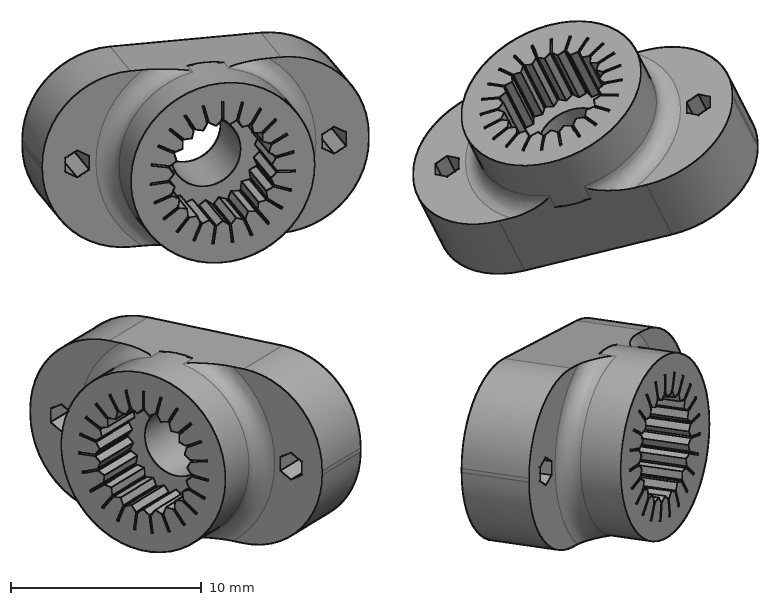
import cadquery as cq
import math

footprint = 15.41
turn_angle = 45.0

plate_thickness = 4.0
plate_length = footprint * math.sqrt(2) - plate_thickness
plate_width = 9.8
plate_corner_radius = 4.8

boss_diameter = 10.0
boss_height = 3.39
boss_fillet = 0.99

tooth_count = 23
tooth_tip_radius = 2.67
groove_root_radius = 2.99
slit_end_radius = 3.95
slit_width = 0.1
socket_depth = boss_height

center_hole_diameter = 3.8
hex_hole_spacing = 13.99
hex_hole_corner_diameter = 1.51

boss_radius = boss_diameter / 2
boss_top = plate_thickness + boss_height


def front_plane(distance):
    """Plane facing -Y at a distance in front of the plate's back face."""
    return cq.Workplane("XZ", origin=(0, -distance, 0))


def make_plate():
    plate = front_plane(0).rect(plate_length, plate_width).extrude(plate_thickness)
    return plate.edges("|Y").fillet(plate_corner_radius)


def make_boss():
    return front_plane(plate_thickness).circle(boss_radius).extrude(boss_height)


def make_boss_fillet():
    """Concave ring at the foot of the boss, trimmed flush with the long sides of the plate."""
    face_y = -plate_thickness
    top_y = face_y - boss_fillet
    outer_radius = boss_radius + boss_fillet
    inner_radius = boss_radius - boss_fillet
    arc_offset = boss_fillet * (1 - math.sqrt(0.5))
    ring = (
        cq.Workplane("XY")
        .moveTo(inner_radius, face_y)
        .lineTo(outer_radius, face_y)
        .threePointArc((boss_radius + arc_offset, face_y - arc_offset), (boss_radius, top_y))
        .lineTo(inner_radius, top_y)
        .close()
        .revolve(360, (0, 0, 0), (0, 1, 0))
    )
    trim = front_plane(plate_thickness).rect(plate_length, plate_width).extrude(boss_fillet)
    return ring.intersect(trim)


def make_socket():
    """Serrated cutter with one groove pointing along +Z."""
    half_pitch = math.pi / tooth_count
    outline = []
    for step in range(2 * tooth_count):
        radius = groove_root_radius if step % 2 == 0 else tooth_tip_radius
        angle = math.pi / 2 + step * half_pitch
        outline.append((radius * math.cos(angle), radius * math.sin(angle)))
    floor = front_plane(boss_top - socket_depth)
    socket = floor.polyline(outline).close().extrude(socket_depth)

    slit_start = tooth_tip_radius
    slit_length = slit_end_radius - slit_start
    slits = (
        floor.polarArray((slit_start + slit_end_radius) / 2, 90, 360, tooth_count)
        .rect(slit_length, slit_width)
        .extrude(socket_depth)
    )
    return socket.union(slits)


def make_plate_holes():
    center_hole = front_plane(0).circle(center_hole_diameter / 2).extrude(plate_thickness)
    hex_hole = (
        front_plane(0)
        .polygon(6, hex_hole_corner_diameter)
        .extrude(plate_thickness)
        .rotate((0, 0, 0), (0, 1, 0), 90)
    )
    holes = center_hole
    for side in (-1, 1):
        holes = holes.union(hex_hole.translate((side * hex_hole_spacing / 2, 0, 0)))
    return holes


body = make_plate().union(make_boss()).union(make_boss_fillet())
body = body.cut(make_socket()).cut(make_plate_holes())
result = body.rotate((0, 0, 0), (0, 0, 1), turn_angle)